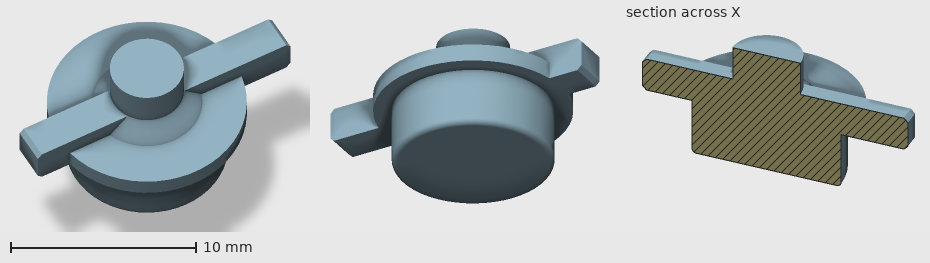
import cadquery as cq

body_diameter = 8.8
body_height = 3.31
body_edge_radius = 0.3
flange_diameter = 10.8
flange_thickness = 1.0
cone_base_diameter = 6.0
cone_height = 1.0
stem_diameter = 4.0
stem_height = 2.0

bar_width = 2.0
bar_length = 15.61
bar_reach_back = 8.31
bar_reach_front = bar_length - bar_reach_back
bar_end_chamfer = 0.25

flange_bottom = body_height
flange_top = flange_bottom + flange_thickness
cone_top = flange_top + cone_height
bar_height = cone_top - flange_bottom


def disc(diameter, height, bottom):
    """Upright cylinder on the Z axis."""
    return cq.Workplane("XY").workplane(offset=bottom).circle(diameter / 2).extrude(height)


def make_body():
    """Plug below the flange, with a rounded bottom edge."""
    return disc(body_diameter, body_height, 0).faces("<Z").edges().fillet(body_edge_radius)


def make_cone():
    """Conical shoulder that narrows from the flange to the stem."""
    profile = [
        (0, flange_top),
        (cone_base_diameter / 2, flange_top),
        (stem_diameter / 2, cone_top),
        (0, cone_top),
    ]
    return cq.Workplane("XZ").polyline(profile).close().revolve(360, (0, 0), (0, 1))


def make_bar():
    """Cross bar with chamfered upper and lower edges at both ends."""
    bar_center_y = (bar_reach_back - bar_reach_front) / 2
    bar = cq.Workplane("XY").box(bar_width, bar_length, bar_height, centered=(True, True, False))
    bar = bar.faces("<Y or >Y").edges("|X").chamfer(bar_end_chamfer)
    return bar.translate((0, bar_center_y, flange_bottom))


flange = disc(flange_diameter, flange_thickness, flange_bottom)
stem = disc(stem_diameter, stem_height, cone_top)

result = make_body().union(flange).union(make_cone()).union(stem).union(make_bar())